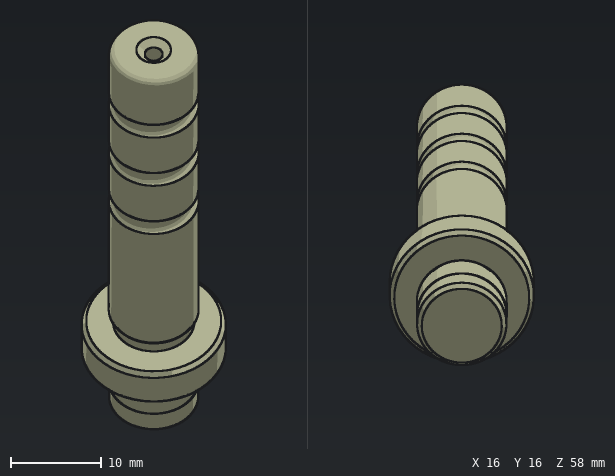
import cadquery as cq
import math

total_length = 58.0
tail_top = 7.1
flange_bottom = 8.0
flange_thickness = 5.0
flange_top = flange_bottom + flange_thickness
shaft_bottom = 14.95

shaft_radius = 5.0
flange_radius = 8.0
neck_radius = 4.5
undercut_radius = 4.65

edge_chamfer = 0.5
shoulder_chamfer = 0.3
top_fillet = 1.0

relief_height = 3.15
relief_radius = shaft_radius - 0.03

top_groove_setback = 7.95
groove_pitch = 8.0
groove_count = 3
groove_width = 2.1
groove_depth = 0.6

centre_hole_radius = 1.0
centre_hole_depth = 3.0
countersink_radius = 1.9
countersink_angle = 106.0
drill_tip_angle = 120.0


def cone_height(radius_change, included_angle):
    return radius_change / math.tan(math.radians(included_angle / 2))


def make_body():
    """Revolve the pin from tail to shaft, with grooves and rounded tip."""
    profile = (
        cq.Workplane("XZ")
        .lineTo(relief_radius - edge_chamfer, 0)
        .lineTo(relief_radius, edge_chamfer)
        .lineTo(relief_radius, relief_height)
        .lineTo(shaft_radius, relief_height)
        .lineTo(shaft_radius, tail_top - shoulder_chamfer)
        .lineTo(shaft_radius - shoulder_chamfer, tail_top)
        .lineTo(neck_radius, tail_top)
        .lineTo(neck_radius, flange_bottom)
        .lineTo(flange_radius - edge_chamfer, flange_bottom)
        .lineTo(flange_radius, flange_bottom + edge_chamfer)
        .lineTo(flange_radius, flange_top - edge_chamfer)
        .lineTo(flange_radius - edge_chamfer, flange_top)
        .lineTo(neck_radius, flange_top)
        .lineTo(undercut_radius, shaft_bottom - edge_chamfer)
        .lineTo(shaft_radius, shaft_bottom)
    )
    top_groove_z = total_length - top_groove_setback
    for index in reversed(range(groove_count)):
        groove_z = top_groove_z - index * groove_pitch
        profile = profile.lineTo(shaft_radius, groove_z - groove_width / 2).threePointArc(
            (shaft_radius - groove_depth, groove_z),
            (shaft_radius, groove_z + groove_width / 2),
        )
    profile = (
        profile.lineTo(shaft_radius, total_length - top_fillet)
        .radiusArc((shaft_radius - top_fillet, total_length), -top_fillet)
        .lineTo(0, total_length)
        .close()
    )
    return profile.revolve(360, (0, 0), (0, 1))


def make_centre_hole():
    """Countersunk blind hole with a conical drill tip."""
    countersink_depth = cone_height(countersink_radius - centre_hole_radius, countersink_angle)
    hole_bottom = total_length - centre_hole_depth
    return (
        cq.Workplane("XZ")
        .moveTo(0, total_length)
        .lineTo(countersink_radius, total_length)
        .lineTo(centre_hole_radius, total_length - countersink_depth)
        .lineTo(centre_hole_radius, hole_bottom)
        .lineTo(0, hole_bottom - cone_height(centre_hole_radius, drill_tip_angle))
        .close()
        .revolve(360, (0, 0), (0, 1))
    )


result = make_body().cut(make_centre_hole())